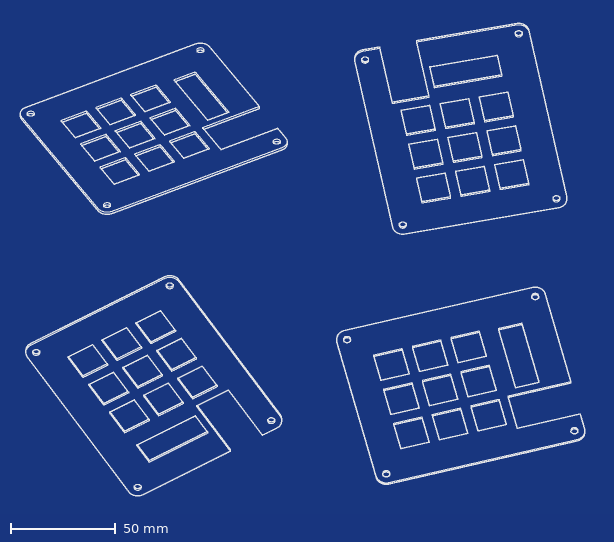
import cadquery as cq

plate_width = 85.0
plate_length = 103.0
plate_thickness = 1.5
corner_radius = 5.0

mount_hole_diameter = 3.4

key_count = 3
key_size = 14.0
key_pitch = 19.1
key_grid_center_y = -10.2

window_width = 33.0
window_height = 11.6
window_center_x = -8.5
window_center_y = 30.9

notch_width = 17.9
notch_depth = 31.1
notch_center_x = 20.4


def through_box(width, height, center_x, center_y):
    """Rectangular cutter spanning the full plate thickness."""
    return (
        cq.Workplane("XY")
        .center(center_x, center_y)
        .rect(width, height)
        .extrude(plate_thickness)
    )


plate = (
    cq.Workplane("XY")
    .rect(plate_width, plate_length)
    .extrude(plate_thickness)
    .edges("|Z")
    .fillet(corner_radius)
)

mount_holes = (
    cq.Workplane("XY")
    .rect(plate_width - 2 * corner_radius, plate_length - 2 * corner_radius, forConstruction=True)
    .vertices()
    .circle(mount_hole_diameter / 2)
    .extrude(plate_thickness)
)

key_openings = (
    cq.Workplane("XY")
    .center(0, key_grid_center_y)
    .rarray(key_pitch, key_pitch, key_count, key_count)
    .rect(key_size, key_size)
    .extrude(plate_thickness)
)

window = through_box(window_width, window_height, window_center_x, window_center_y)
notch_center_y = (plate_length - notch_depth) / 2
notch = through_box(notch_width, notch_depth, notch_center_x, notch_center_y)

result = plate.cut(mount_holes).cut(key_openings).cut(window).cut(notch)